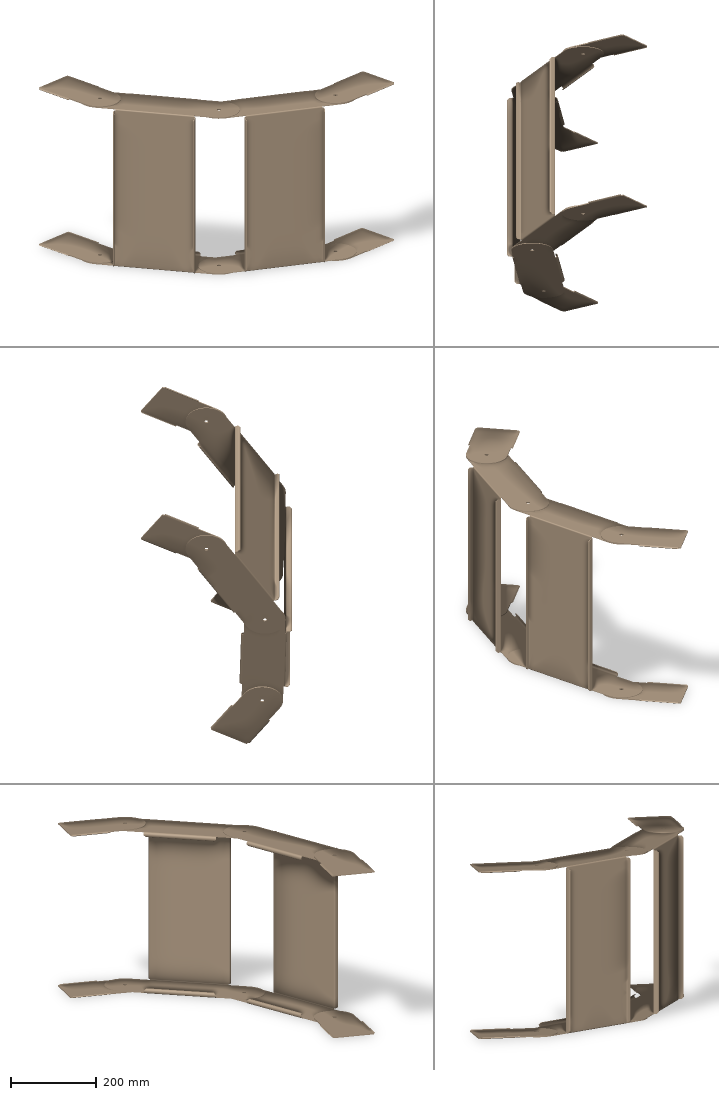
import cadquery as cq
import math

TOTAL_LENGTH = 595.0
TOTAL_HEIGHT = 403.5

TRAY_SHEET = 1.5
END_SHEET = 2.5

HALF_WIDTH = 49.0
HOLE_DIAMETER = 9.5
END_PLATE_REACH = 150.0
TRAY_ANGLES = (30.0, 60.0)

LIP_ANGLE = 45.0
LIP_WIDTH = 5.0
LIP_SETBACK = 5.0
LIP_LENGTH = 93.0

ROLL_CHAMFER = 5.5
FLANGE_ROLL_RADIUS = 6.0
FLANGE_ROLL_DEPTH = 2 * FLANGE_ROLL_RADIUS
FLANGE_SETBACK = 56.5
PANEL_ROLL_RADIUS = 3.5
PANEL_ROLL_DEPTH = 14.0
PANEL_SETBACK = 45.0

PANEL_BEND_RADIUS = 3.0

HINGE_SPACING = (TOTAL_LENGTH - END_PLATE_REACH - HALF_WIDTH - LIP_WIDTH) / sum(
    math.cos(math.radians(angle)) for angle in TRAY_ANGLES
)
OUTER_TRAY_HEIGHT = TOTAL_HEIGHT - 2 * END_SHEET + TRAY_SHEET
INNER_TRAY_HEIGHT = OUTER_TRAY_HEIGHT - 2 * TRAY_SHEET
OUTER_TRAY_BASE = END_SHEET - TRAY_SHEET
INNER_TRAY_BASE = OUTER_TRAY_BASE + TRAY_SHEET


def round_ended_plate(start, end, thickness):
    """Plate along X on the base plane, half-round at the far end."""
    return (
        cq.Workplane("XY")
        .moveTo(start, -HALF_WIDTH)
        .lineTo(end, -HALF_WIDTH)
        .threePointArc((end + HALF_WIDTH, 0), (end, HALF_WIDTH))
        .lineTo(start, HALF_WIDTH)
        .close()
        .extrude(thickness)
    )


def hinge_holes(*hinges):
    """Cutter for the holes through a whole section at the given hinge points."""
    return (
        cq.Workplane("XY")
        .pushPoints([(x, y) for x, y, z in hinges])
        .circle(HOLE_DIAMETER / 2)
        .extrude(TOTAL_HEIGHT)
    )


def curl_profile(plane, radius, thickness, angle):
    """Sheet section that leaves the origin along local X and curls towards local Y."""
    turn = math.radians(angle)
    inner = radius - thickness

    def on_arc(arc_radius, position):
        return (arc_radius * math.sin(position), radius - arc_radius * math.cos(position))

    return (
        cq.Workplane(plane)
        .moveTo(0, 0)
        .threePointArc(on_arc(radius, turn / 2), on_arc(radius, turn))
        .lineTo(*on_arc(inner, turn))
        .threePointArc(on_arc(inner, turn / 2), (0, thickness))
        .close()
    )


def rolled_edge(length, radius, depth):
    """Sheet edge along X at Y = 0, bent up through two quarter turns to the given depth."""
    bend = curl_profile("YZ", radius, TRAY_SHEET, 90).extrude(length)
    roll = bend.union(bend.mirror("XY", (0, 0, depth / 2)))
    web_height = depth - 2 * radius
    if web_height > 0:
        web = cq.Workplane("XY").box(length, TRAY_SHEET, web_height, centered=False)
        roll = roll.union(web.translate((0, radius - TRAY_SHEET, radius)))
    outline = (
        cq.Workplane("XZ")
        .rect(length, 2 * depth)
        .extrude(-radius)
        .edges("|Y")
        .chamfer(ROLL_CHAMFER)
        .translate((length / 2, 0, 0))
    )
    return roll.intersect(outline)


def inner_flange():
    """Rolled flange on the inner edge of a tray side plate."""
    length = HINGE_SPACING - 2 * FLANGE_SETBACK
    flange = rolled_edge(length, FLANGE_ROLL_RADIUS, FLANGE_ROLL_DEPTH)
    return flange.translate((FLANGE_SETBACK, HALF_WIDTH, 0))


def panel_bend():
    """Quarter bend from a side plate up into the panel."""
    start = PANEL_SETBACK + PANEL_ROLL_RADIUS
    plane = cq.Plane(origin=(start, -HALF_WIDTH, 0), xDir=(0, -1, 0), normal=(-1, 0, 0))
    bend = curl_profile(plane, PANEL_BEND_RADIUS, TRAY_SHEET, 90)
    return bend.extrude(-(HINGE_SPACING - 2 * start))


def rolled_panel(height):
    """Upright panel outside the outer edge, both ends rolled outward."""
    start = PANEL_SETBACK + PANEL_ROLL_RADIUS
    back = -(HALF_WIDTH + PANEL_BEND_RADIUS - TRAY_SHEET)
    panel_height = height - 2 * PANEL_BEND_RADIUS
    sheet = (
        cq.Workplane("XY")
        .box(HINGE_SPACING - 2 * start, TRAY_SHEET, panel_height, centered=False)
        .translate((start, back - TRAY_SHEET, PANEL_BEND_RADIUS))
    )
    upright = cq.Plane(origin=(start, back, PANEL_BEND_RADIUS), xDir=(0, 0, 1), normal=(0, -1, 0))
    flat_roll = rolled_edge(panel_height, PANEL_ROLL_RADIUS, PANEL_ROLL_DEPTH)
    roll = cq.Workplane(flat_roll.val().moved(cq.Location(upright)))
    return sheet.union(roll).union(roll.mirror("YZ", (HINGE_SPACING / 2, 0, 0)))


def tray(height):
    """Side plates with inner flanges, joined by the rolled panel; first hinge on the Z axis."""
    plate = round_ended_plate(HINGE_SPACING / 2, HINGE_SPACING, TRAY_SHEET)
    plate = plate.union(plate.mirror("YZ", (HINGE_SPACING / 2, 0, 0)))
    side = plate.union(inner_flange()).union(panel_bend())
    other_side = side.mirror("XY", (0, 0, height / 2))
    return side.union(rolled_panel(height)).union(other_side)


def end_lip(mitred):
    """Curled lip on the +Y edge of an end plate; a mitred lip starts at the plate corner."""
    radius = LIP_WIDTH / math.sin(math.radians(LIP_ANGLE))
    run_in = LIP_SETBACK if mitred else 0
    start = LIP_SETBACK - END_PLATE_REACH
    lip = curl_profile("YZ", radius, END_SHEET, LIP_ANGLE).extrude(LIP_LENGTH + run_in)
    lip = lip.translate((start - run_in, HALF_WIDTH, 0))
    if mitred:
        corner = (
            cq.Workplane("XY")
            .moveTo(start - run_in, HALF_WIDTH)
            .lineTo(start, HALF_WIDTH + LIP_WIDTH)
            .lineTo(start - run_in, HALF_WIDTH + LIP_WIDTH)
            .close()
            .extrude(radius)
        )
        lip = lip.cut(corner)
    return lip


def end_plate(inner_side):
    """End plate reaching to -X from its hinge on the Z axis, its lips bent upward.

    The lip towards the inside of the elbow, at +Y or -Y by the sign of inner_side, is mitred.
    """
    plate = round_ended_plate(-END_PLATE_REACH, 0, END_SHEET)
    return plate.union(end_lip(inner_side > 0)).union(end_lip(inner_side < 0).mirror("XZ"))


def end_plate_pair(bottom, top, inner_side):
    """Two facing end plates between the underside of the lower and the top of the upper one."""
    lower = end_plate(inner_side).translate((0, 0, bottom))
    upper = end_plate(inner_side).mirror("XY").translate((0, 0, top))
    return lower, upper


def turned(part, angle, hinge):
    """Turn a part about the Z axis and move its hinge into place."""
    return part.rotate((0, 0, 0), (0, 0, 1), angle).translate(hinge)


hinges = [(END_PLATE_REACH, HALF_WIDTH + LIP_WIDTH, 0)]
for tray_angle in TRAY_ANGLES:
    x, y, z = hinges[-1]
    direction = math.radians(tray_angle)
    hinges.append(
        (x + HINGE_SPACING * math.cos(direction), y + HINGE_SPACING * math.sin(direction), z)
    )
first_hinge, middle_hinge, last_hinge = hinges

outer_section = turned(
    tray(OUTER_TRAY_HEIGHT).translate((0, 0, OUTER_TRAY_BASE)), TRAY_ANGLES[0], first_hinge
)
for plate in end_plate_pair(OUTER_TRAY_BASE + TRAY_SHEET, TOTAL_HEIGHT, 1):
    outer_section = outer_section.union(turned(plate, 0, first_hinge))
outer_section = outer_section.cut(hinge_holes(first_hinge, middle_hinge))

inner_section = turned(
    tray(INNER_TRAY_HEIGHT).translate((0, 0, INNER_TRAY_BASE)), TRAY_ANGLES[1], middle_hinge
)
for plate in end_plate_pair(0, TOTAL_HEIGHT - TRAY_SHEET, -1):
    inner_section = inner_section.union(turned(plate, -90, last_hinge))
inner_section = inner_section.cut(hinge_holes(middle_hinge, last_hinge))

result = cq.Compound.makeCompound([outer_section.val(), inner_section.val()])